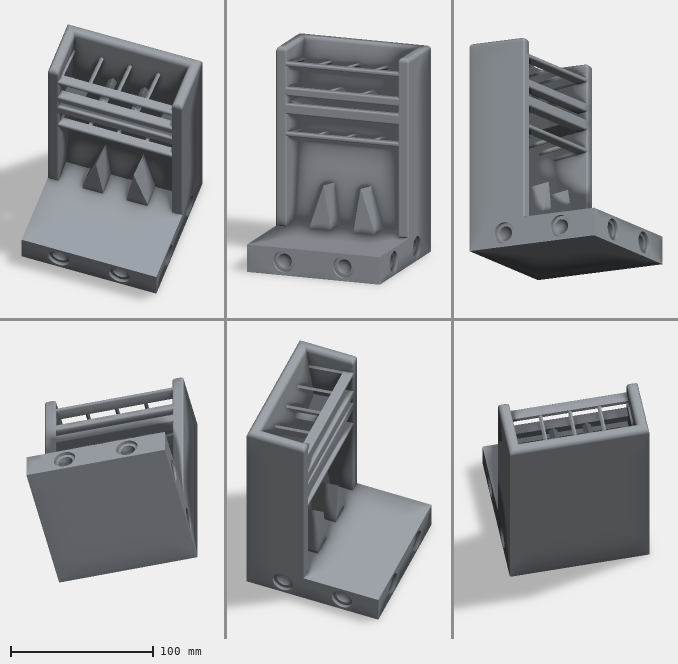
import cadquery as cq
import math

height = 150.0
base_side = 100.0
base_height = 20.0

tower_depth = 44.0
wall = 8.0
front_wall = 7.5
back_tilt = 8.0
rim_radius = 3.0
front_edge_radius = 1.2

rod_gaps = 4
round_row_height = 83.5
round_pin_diameter = 3.0
wedge_row_height = 102.3
wedge_reach = 14.1
wedge_half_height = 4.4
big_diamond_row_height = 113.8
big_diamond_half_width = 3.2
big_diamond_offset = 12.0
small_diamond_row_height = 133.4
small_diamond_half_width = 1.4

thin_bar_half_height = 1.5
middle_bar_half_height = 3.0
wide_bar_row_height = 101.5
wide_bar_half_height = 3.8

spike_tip_offset = 14.0
spike_tip_height = 32.7
spike_inner_offset = 8.8
spike_outer_offset = 24.2
spike_shoulder_height = 2.7

pocket_offset = 22.5
pocket_diameter = 15.5
pocket_depth = 2.5
bore_diameter = 10.5
bore_depth = 0.9

half_side = base_side / 2
half_inside = half_side - wall
back_y = half_side
front_y = back_y - tower_depth
bar_back_y = front_y + front_wall
tilt = math.radians(back_tilt)
rod_pitch = 2 * half_inside / rod_gaps


def slope_y(z):
    """Y of the inner back face at height z."""
    return back_y - wall - (height - z) * math.tan(tilt)


def box_between(x0, x1, y0, y1, z0, z1):
    return cq.Workplane("XY").box(x1 - x0, y1 - y0, z1 - z0, centered=False).translate((x0, y0, z0))


def tilted_plane(y, z):
    """Workplane at x = 0 that is parallel to the inner back face and looks to the front."""
    return cq.Workplane(
        cq.Plane(origin=(0, y, z), xDir=(1, 0, 0), normal=(0, -math.cos(tilt), math.sin(tilt)))
    )


def across_inside(points):
    """Prism with a (y, z) outline that spans the tower between its side walls."""
    return cq.Workplane("YZ").polyline(points).close().extrude(half_inside, both=True)


def inside_behind(y):
    """The tower's inner space from the given Y to the inner back face."""
    return across_inside([
        (y, base_height),
        (slope_y(base_height), base_height),
        (slope_y(height), height),
        (y, height),
    ])


def cross_bar(row_height, half_height):
    """Front bar that continues a pin row, tilted like the pins."""
    back_z = row_height + (slope_y(row_height) - bar_back_y) * math.tan(tilt)
    front_z = back_z + front_wall * math.tan(tilt)
    return across_inside([
        (front_y, front_z - half_height),
        (bar_back_y, back_z - half_height),
        (bar_back_y, back_z + half_height),
        (front_y, front_z + half_height),
    ])


def pin(sketch):
    """Pin from the inner back face to the bars, with the cross-section drawn in the sketch."""
    return sketch.extrude(tower_depth).intersect(inside_behind(bar_back_y))


def pin_plane(row_height):
    return tilted_plane(slope_y(row_height), row_height)


def diamond_pin(x, row_height, half_width):
    outline = [(x - half_width, 0), (x, -half_width), (x + half_width, 0), (x, half_width)]
    return pin(pin_plane(row_height).polyline(outline).close())


def round_pin(x):
    return pin(pin_plane(round_row_height).center(x, 0).circle(round_pin_diameter / 2))


def wall_wedge(side):
    """Ridge on a side wall that narrows to an edge towards the middle."""
    wall_x = side * half_inside
    outline = [
        (wall_x, -wedge_half_height),
        (wall_x - side * wedge_reach, 0),
        (wall_x, wedge_half_height),
    ]
    return pin(pin_plane(wedge_row_height).polyline(outline).close())


def spike(side):
    """Pointed prism on the floor, cut off at the inner back face, the floor and the front plane."""
    upright = math.cos(tilt)
    outline = [
        (side * spike_outer_offset, -base_height),
        (side * spike_outer_offset, spike_shoulder_height * upright),
        (side * spike_tip_offset, spike_tip_height * upright),
        (side * spike_inner_offset, spike_shoulder_height * upright),
        (side * spike_inner_offset, -base_height),
    ]
    prism = tilted_plane(front_y, base_height).polyline(outline).close().extrude(tower_depth, both=True)
    return prism.intersect(inside_behind(front_y))


def make_tower():
    tower = box_between(-half_side, half_side, front_y, back_y, base_height, height)
    tower = tower.cut(inside_behind(front_y))
    bars = [
        (round_row_height, thin_bar_half_height),
        (wide_bar_row_height, wide_bar_half_height),
        (big_diamond_row_height, middle_bar_half_height),
        (small_diamond_row_height, thin_bar_half_height),
    ]
    for row_height, half_height in bars:
        tower = tower.union(cross_bar(row_height, half_height))

    tower = tower.faces(">Z").edges().fillet(rim_radius)
    tower = tower.faces("<Y").edges().fillet(front_edge_radius)

    for i in range(rod_gaps + 1):
        x = -half_inside + i * rod_pitch
        tower = tower.union(round_pin(x))
        tower = tower.union(diamond_pin(x, small_diamond_row_height, small_diamond_half_width))
    for side in (-1, 1):
        x = side * big_diamond_offset
        tower = tower.union(diamond_pin(x, big_diamond_row_height, big_diamond_half_width))
        tower = tower.union(wall_wedge(side))
        tower = tower.union(spike(side))
    return tower


def side_pocket(offset):
    """Stepped round pocket with a ball-shaped bottom, in the front side of the base."""
    radius = bore_diameter / 2
    ball_depth = pocket_depth + bore_depth
    half_profile = (
        cq.Workplane("XY")
        .lineTo(pocket_diameter / 2, 0)
        .lineTo(pocket_diameter / 2, pocket_depth)
        .lineTo(radius, pocket_depth)
        .lineTo(radius, ball_depth)
        .radiusArc((0, ball_depth + radius), -radius)
        .close()
    )
    return half_profile.revolve(360, (0, 0), (0, 1)).translate((offset, -half_side, base_height / 2))


def make_base():
    base = box_between(-half_side, half_side, -half_side, half_side, 0, base_height)
    for turn in (-90, 0, 90):
        for offset in (-pocket_offset, pocket_offset):
            base = base.cut(side_pocket(offset).rotate((0, 0, 0), (0, 0, 1), turn))
    return base


base = make_base()
tower = make_tower()
result = cq.Compound.makeCompound([base.val(), tower.val()])